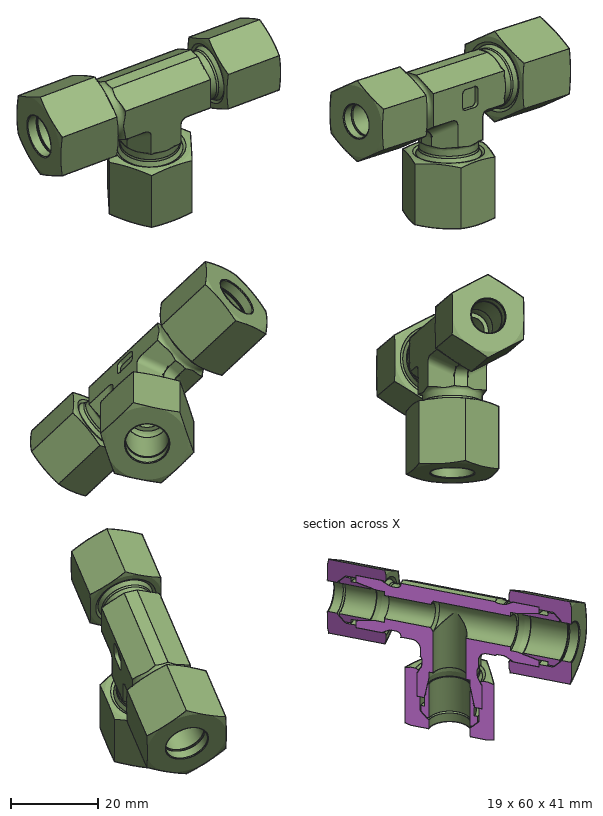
import cadquery as cq
import math


BODY_ACROSS_FLATS = 14.0
BODY_HEIGHT = 14.38
CROTCH_RADIUS = 2.0
BADGE_SIZE = 5.0
BADGE_CORNER_RADIUS = 1.0
BADGE_DEPTH = 1.0
HEX_FLATS_OVER_CORNERS = math.cos(math.radians(30))
TOLERANCE = 1e-4

UNDERCUT_RADIUS = 1.0
UNDERCUT_LENGTH = 2.85
RUNOUT_ANGLE = math.radians(30)
SEAT_HALF_ANGLE = math.radians(12)
STUB_LENGTH = 11.0
DRILL_HALF_ANGLE = math.radians(59)
TUBE_DEPTH = 7.0

NUT_END = 30.0
NUT_ENTRY_DEPTH = 2.4
NUT_ENTRY_CHAMFER = 0.2
NUT_CHAMFER_ANGLE = math.radians(15)
NUT_COUNTERSINK_CLEARANCE = 0.5
NUT_COUNTERSINK_HALF_ANGLE = math.radians(60)

RING_COLLAR_EXTRA = 4.0
RING_COLLAR_LENGTH = 1.5
RING_TIP_WALL = 0.3
RING_BACK_WALL = 0.5

LARGE = dict(
    tube=10.0, bore=8.0, thread=16.0, thread_core=14.38, undercut=13.7,
    seat_mouth=12.3, shoulder=11.0, nut_flats=19.0, nut_length=15.5,
)
SMALL = dict(
    tube=8.0, bore=6.0, thread=14.0, thread_core=12.38, undercut=11.7,
    seat_mouth=10.1, shoulder=12.0, nut_flats=17.0, nut_length=14.5,
)

RUN_LARGE = (LARGE, 90)
RUN_SMALL = (SMALL, -90)
BRANCH = (LARGE, 180)
PORTS = [RUN_LARGE, RUN_SMALL, BRANCH]


def place(shape, turn):
    """Swing a part built along local +Z onto its port axis."""
    return shape.rotate((0, 0, 0), (1, 0, 0), turn)


def revolve_z(profile):
    """Revolve a closed (radius, height) outline about the Z axis."""
    return profile.close().revolve(360, (0, 0, 0), (0, 1, 0))


def hex_prism(across_flats, start, end):
    """Hexagonal prism along Z with flats facing +X and -X."""
    corner_diameter = across_flats / HEX_FLATS_OVER_CORNERS
    prism = cq.Workplane("XY").workplane(offset=start).polygon(6, corner_diameter).extrude(end - start)
    return prism.rotate((0, 0, 0), (0, 0, 1), 90)


def body_prism(end):
    """Body arm from the origin outward: a hexagon with two opposite corners cut flat."""
    limit = cq.Workplane("XY").box(2 * BODY_ACROSS_FLATS, BODY_HEIGHT, end, centered=(True, True, False))
    return hex_prism(BODY_ACROSS_FLATS, 0, end).intersect(limit)


def root_fillet(size):
    """Rounded transition from the arm's shoulder down to the undercut, kept within the arm."""
    shoulder = size["shoulder"]
    neck_radius = size["undercut"] / 2
    neck_start = shoulder + UNDERCUT_RADIUS
    fillet = revolve_z(
        cq.Workplane("XZ")
        .moveTo(0, shoulder)
        .lineTo(neck_radius + UNDERCUT_RADIUS, shoulder)
        .radiusArc((neck_radius, neck_start), UNDERCUT_RADIUS)
        .lineTo(0, neck_start)
    )
    return fillet.intersect(body_prism(neck_start))


def threaded_stub(size):
    """Undercut, runout cone and plain thread cylinder, from the root fillet to the open end."""
    shoulder = size["shoulder"]
    neck_radius = size["undercut"] / 2
    thread_radius = size["thread"] / 2
    runout_start = shoulder + UNDERCUT_LENGTH
    runout_radius = neck_radius + UNDERCUT_RADIUS * (1 - math.cos(RUNOUT_ANGLE))
    neck_end = runout_start - UNDERCUT_RADIUS * math.sin(RUNOUT_ANGLE)
    runout_end = runout_start + (thread_radius - runout_radius) / math.tan(RUNOUT_ANGLE)
    open_end = shoulder + STUB_LENGTH
    return revolve_z(
        cq.Workplane("XZ")
        .moveTo(0, shoulder + UNDERCUT_RADIUS)
        .lineTo(neck_radius, shoulder + UNDERCUT_RADIUS)
        .lineTo(neck_radius, neck_end)
        .radiusArc((runout_radius, runout_start), -UNDERCUT_RADIUS)
        .lineTo(thread_radius, runout_end)
        .lineTo(thread_radius, open_end)
        .lineTo(0, open_end)
    )


def port_cavity(size):
    """Flow bore, tube socket and conical ring seat of one port."""
    bore_radius = size["bore"] / 2
    tube_radius = size["tube"] / 2
    mouth_radius = size["seat_mouth"] / 2
    open_end = size["shoulder"] + STUB_LENGTH
    seat_bottom = open_end - (mouth_radius - tube_radius) / math.tan(SEAT_HALF_ANGLE)
    return revolve_z(
        cq.Workplane("XZ")
        .moveTo(0, 0)
        .lineTo(bore_radius, 0)
        .lineTo(bore_radius, open_end - TUBE_DEPTH)
        .lineTo(tube_radius, open_end - TUBE_DEPTH)
        .lineTo(tube_radius, seat_bottom)
        .lineTo(mouth_radius, open_end)
        .lineTo(0, open_end)
    )


def bore_reducer():
    """Large run bore carried past the branch bore, then a drill point cone down to the small bore."""
    large_radius = LARGE["bore"] / 2
    small_radius = SMALL["bore"] / 2
    cone_start = large_radius
    cone_end = cone_start + (large_radius - small_radius) / math.tan(DRILL_HALF_ANGLE)
    return revolve_z(
        cq.Workplane("XZ")
        .moveTo(0, 0)
        .lineTo(large_radius, 0)
        .lineTo(large_radius, cone_start)
        .lineTo(small_radius, cone_end)
        .lineTo(0, cone_end)
    )


def is_mitre(edge):
    """True for edges on the 45 degree planes where the run and branch faces meet."""
    ends = (edge.startPoint(), edge.endPoint())
    return all(abs(abs(point.y) + point.z) < TOLERANCE for point in ends)


def make_arms():
    """Hexagonal run and branch with rounded crotches."""
    arms = None
    for size, turn in PORTS:
        arm = place(body_prism(size["shoulder"]), turn)
        arms = arm if arms is None else arms.union(arm)
    return arms.edges().filter(is_mitre).fillet(CROTCH_RADIUS)


def badge_pocket():
    """Shallow rounded square recess centred on the -X face."""
    pocket = (
        cq.Workplane("XY")
        .box(BADGE_DEPTH, BADGE_SIZE, BADGE_SIZE, centered=(False, True, True))
        .edges("|X")
        .fillet(BADGE_CORNER_RADIUS)
    )
    return pocket.translate((-BODY_ACROSS_FLATS / 2, 0, 0))


def make_tee_body():
    body = make_arms()
    for size, turn in PORTS:
        body = body.union(place(root_fillet(size).union(threaded_stub(size)), turn))
    for size, turn in PORTS:
        body = body.cut(place(port_cavity(size), turn))
    body = body.cut(place(bore_reducer(), RUN_SMALL[1]))
    return body.cut(badge_pocket())


def nut_envelope(size):
    """Hexagon with both faces chamfered down to a circle as wide as the flats."""
    start = NUT_END - size["nut_length"]
    face_radius = size["nut_flats"] / 2
    corner_radius = face_radius / HEX_FLATS_OVER_CORNERS
    chamfer = (corner_radius - face_radius) * math.tan(NUT_CHAMFER_ANGLE)
    turned = revolve_z(
        cq.Workplane("XZ")
        .moveTo(0, start)
        .lineTo(face_radius, start)
        .lineTo(corner_radius, start + chamfer)
        .lineTo(corner_radius, NUT_END - chamfer)
        .lineTo(face_radius, NUT_END)
        .lineTo(0, NUT_END)
    )
    return hex_prism(size["nut_flats"], start, NUT_END).intersect(turned)


def make_nut(size, turn, body):
    """Union nut whose countersunk bore is relieved to fit the body's thread."""
    start = NUT_END - size["nut_length"]
    core_radius = size["thread_core"] / 2
    entry_radius = size["tube"] / 2
    mouth_radius = (size["thread"] + NUT_COUNTERSINK_CLEARANCE) / 2
    countersink_depth = (mouth_radius - core_radius) / math.tan(NUT_COUNTERSINK_HALF_ANGLE)
    entry_start = NUT_END - NUT_ENTRY_DEPTH
    cavity = revolve_z(
        cq.Workplane("XZ")
        .moveTo(0, start)
        .lineTo(mouth_radius, start)
        .lineTo(core_radius, start + countersink_depth)
        .lineTo(core_radius, entry_start - (core_radius - entry_radius))
        .lineTo(entry_radius, entry_start)
        .lineTo(entry_radius, NUT_END - NUT_ENTRY_CHAMFER)
        .lineTo(entry_radius + NUT_ENTRY_CHAMFER, NUT_END)
        .lineTo(0, NUT_END)
    )
    return place(nut_envelope(size).cut(cavity), turn).cut(body)


def make_cutting_ring(size, turn):
    """Ring with a nose filling the body's seat and a collar bearing on the nut's 45 degree cone."""
    tube_radius = size["tube"] / 2
    mouth_radius = size["seat_mouth"] / 2
    collar_radius = (size["tube"] + RING_COLLAR_EXTRA) / 2
    back_radius = tube_radius + RING_BACK_WALL
    tip_radius = tube_radius + RING_TIP_WALL
    open_end = size["shoulder"] + STUB_LENGTH
    tip = open_end - (mouth_radius - tip_radius) / math.tan(SEAT_HALF_ANGLE)
    back = NUT_END - NUT_ENTRY_DEPTH - RING_BACK_WALL
    collar_end = back - (collar_radius - back_radius)
    collar_start = collar_end - RING_COLLAR_LENGTH
    ring = revolve_z(
        cq.Workplane("XZ")
        .moveTo(tube_radius, tip)
        .lineTo(tip_radius, tip)
        .lineTo(mouth_radius, open_end)
        .lineTo(mouth_radius, collar_start)
        .lineTo(collar_radius, collar_start)
        .lineTo(collar_radius, collar_end)
        .lineTo(back_radius, back)
        .lineTo(tube_radius, back)
    )
    return place(ring, turn)


tee_body = make_tee_body()
nuts = [make_nut(size, turn, tee_body) for size, turn in PORTS]
cutting_rings = [make_cutting_ring(size, turn) for size, turn in PORTS]

result = cq.Compound.makeCompound(
    [tee_body.val()]
    + [nut.val() for nut in nuts]
    + [ring.val() for ring in cutting_rings]
)